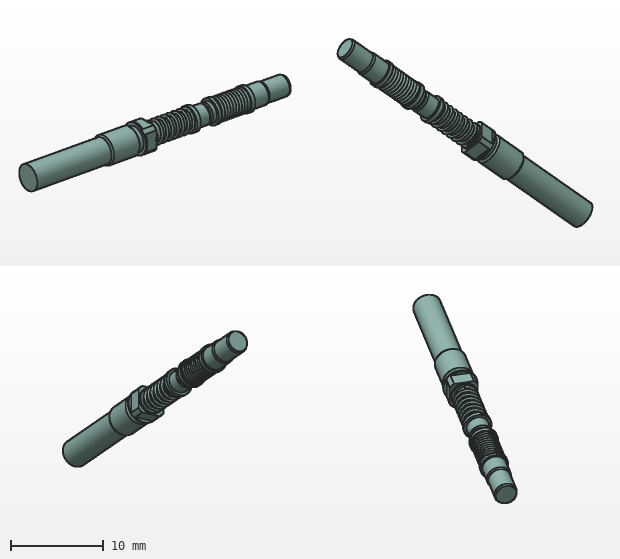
import cadquery as cq

length = 35.5

tail_dia = 3.1
sleeve_neck_dia = 3.0
sleeve_dia = 3.5
flange_dia = 3.8
collar_dia = 3.1
plunger_dia = 2.5
neck_dia = 2.7
spring_outer_dia = 2.9
rear_core_dia = 2.25
front_core_dia = 2.2
groove_dia = 2.3

sleeve_start = 10.3
sleeve_end = 14.25
flange_start = 14.8
flange_end = 15.0
square_end = 16.55
spring_seat_end = 16.8
rear_collar_start = 22.2
rear_collar_end = 22.7
groove_start = 24.2
groove_end = 24.65
middle_collar_start = 25.15
middle_collar_end = 25.65
front_collar_start = 29.75
front_collar_end = 30.25
neck_end = 32.5

sleeve_chamfer = (sleeve_dia - tail_dia) / 2
neck_taper_length = 0.25
tip_chamfer = 0.1
tip_chamfer_length = 0.25

square_across_flats = 3.1

wire_dia = 0.33
coil_radius = (spring_outer_dia - wire_dia) / 2
rear_spring_turns = 7.25
rear_spring_pitch = 0.727
rear_spring_start = 17.0
rear_spring_start_angle = -90
front_spring_pitch = 0.392
front_spring_start_angle = 105
wire_embed = 0.1


def make_body():
    """Turned body: every round section except the square, as one revolved outline."""
    sections = [
        (0, tail_dia),
        (sleeve_start, tail_dia),
        (sleeve_start + sleeve_chamfer, sleeve_dia),
        (sleeve_end - sleeve_chamfer, sleeve_dia),
        (sleeve_end, sleeve_neck_dia),
        (flange_start, sleeve_neck_dia),
        (flange_start, flange_dia),
        (flange_end, flange_dia),
        (flange_end, spring_outer_dia),
        (spring_seat_end, spring_outer_dia),
        (spring_seat_end, rear_core_dia),
        (rear_collar_start, rear_core_dia),
        (rear_collar_start, collar_dia),
        (rear_collar_end, collar_dia),
        (rear_collar_end, plunger_dia),
        (groove_start, plunger_dia),
        ((groove_start + groove_end) / 2, groove_dia),
        (groove_end, plunger_dia),
        (middle_collar_start, plunger_dia),
        (middle_collar_start, collar_dia),
        (middle_collar_end, collar_dia),
        (middle_collar_end, front_core_dia),
        (front_collar_start, front_core_dia),
        (front_collar_start, collar_dia),
        (front_collar_end, collar_dia),
        (front_collar_end, neck_dia),
        (neck_end - neck_taper_length, neck_dia),
        (neck_end, plunger_dia),
        (length - tip_chamfer_length, plunger_dia),
        (length, plunger_dia - 2 * tip_chamfer),
    ]
    outline = cq.Workplane("XY").moveTo(0, 0)
    for y, diameter in sections:
        outline = outline.lineTo(diameter / 2, y)
    return outline.lineTo(0, length).close().revolve(360, (0, 0), (0, 1))


def along_y(shape, y_start):
    """Lay a shape built upward along Z onto the Y axis, starting at y_start."""
    return shape.rotate((0, 0, 0), (1, 0, 0), -90).translate((0, y_start, 0))


def make_square():
    """Square section whose corners are rounded to the flange diameter."""
    square_length = square_end - flange_end
    square = cq.Workplane("XY").rect(square_across_flats, square_across_flats).extrude(square_length)
    corner_round = cq.Workplane("XY").circle(flange_dia / 2).extrude(square_length)
    return along_y(square.intersect(corner_round), flange_end)


def make_coil(pitch, height, y_start, start_angle):
    """Round wire swept along a left-handed helix; start_angle runs from +X towards -Z."""
    path = cq.Wire.makeHelix(pitch, height, coil_radius, lefthand=True)
    wire = cq.Workplane("XZ").center(coil_radius, 0).circle(wire_dia / 2).sweep(path, isFrenet=True)
    return along_y(wire.rotate((0, 0, 0), (0, 0, 1), start_angle), y_start)


def make_rear_spring():
    """Open coil between the square and the rear collar."""
    height = rear_spring_turns * rear_spring_pitch
    return make_coil(rear_spring_pitch, height, rear_spring_start, rear_spring_start_angle)


def make_front_spring():
    """Nearly closed coil filling the space between the middle and front collars."""
    start = middle_collar_end - wire_embed
    height = front_collar_start + wire_embed - start
    return make_coil(front_spring_pitch, height, start, front_spring_start_angle)


result = make_body().union(make_square()).union(make_rear_spring()).union(make_front_spring())